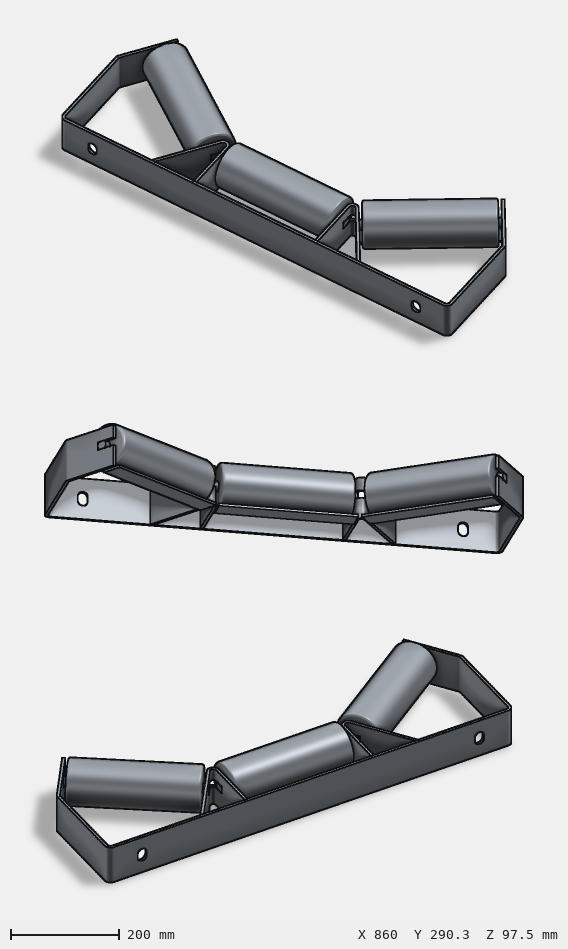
import cadquery as cq
import math

frame_length = 860.0
strip_height = 80.0
thickness = 6.0
bend_inner_radius = 6.0
frame_end_reach = 29.0

mount_slot_offset = 357.5
mount_slot_width = 19.0
mount_slot_height = 27.0

roller_diameter = 90.0
roller_length = 250.0
roller_edge_radius = 5.0
axle_diameter = 20.0
axle_flat_width = 15.0
axle_height = 47.5
half_gap = 131.0

slot_depth = thickness + 10.0
slot_open_length = 45.0

center_roller_y = 100.0
wing_angle = 35.0
wing_roller_x = 266.7
wing_roller_y = 183.23

plate_width = 39.0
plate_thickness = 5.0

strip_middle = half_gap + thickness / 2
cos_wing = math.cos(math.radians(wing_angle))
sin_wing = math.sin(math.radians(wing_angle))


def wing_point(along, across):
    """XY of a point given along and across the axis of the left wing roller."""
    x = -wing_roller_x + along * cos_wing + across * sin_wing
    y = wing_roller_y - along * sin_wing + across * cos_wing
    return x, y


def wing_point_at_x(along, x):
    """Point at the given x on the line square to the wing axis at this distance along it."""
    return wing_point(along, (x + wing_roller_x - along * cos_wing) / sin_wing)


def wing_point_at_y(along, y):
    """Point at the given y on the line square to the wing axis at this distance along it."""
    return wing_point(along, (y - wing_roller_y + along * sin_wing) / cos_wing)


def mirror_x(shape):
    return shape.mirror("YZ")


def to_center(shape):
    """Move a shape with its roller axis along X to the centre roller's place."""
    return shape.translate((0, center_roller_y, 0))


def to_left_wing(shape):
    """Turn and move a shape with its roller axis along X to the left wing roller's place."""
    turned = shape.rotate((0, 0, 0), (0, 0, 1), -wing_angle)
    return turned.translate((-wing_roller_x, wing_roller_y, 0))


def in_three_places(shape):
    """Copies of a shape at the left wing, the centre and the right wing."""
    left = to_left_wing(shape)
    return [left, to_center(shape), mirror_x(left)]


def bent_strip(points):
    """Strip standing on Z=0 that follows a centre line with rounded bends."""
    corners = [cq.Vector(x, y, 0) for x, y in points]
    path = cq.Wire.makePolygon(corners).fillet(bend_inner_radius + thickness / 2)
    start_plane = cq.Plane(
        origin=corners[0], xDir=cq.Vector(0, 0, 1), normal=corners[1] - corners[0]
    )
    return (
        cq.Workplane(start_plane)
        .center(strip_height / 2, 0)
        .rect(strip_height, thickness)
        .sweep(cq.Workplane(obj=path))
    )


def axle_slot():
    """Cutter for the support on the +X side: a slot from below the axle to the open end."""
    return (
        cq.Workplane("XY")
        .box(
            slot_depth,
            axle_diameter / 2 + slot_open_length,
            axle_flat_width,
            centered=(False, False, True),
        )
        .translate((half_gap, -axle_diameter / 2, axle_height))
    )


def make_frame():
    """Base strip with both ends bent up, then inward past the outer wing roller ends."""
    side_x = -(frame_length - thickness) / 2
    tip = wing_point(-strip_middle, frame_end_reach)
    shoulder = wing_point_at_x(-strip_middle, side_x)
    base_corner = (side_x, thickness / 2)
    left_half = [tip, shoulder, base_corner]
    right_half = [(-x, y) for x, y in reversed(left_half)]
    strip = bent_strip(left_half + right_half)

    mount_slots = (
        cq.Workplane("XZ")
        .pushPoints([(side * mount_slot_offset, strip_height / 2) for side in (-1, 1)])
        .slot2D(mount_slot_height, mount_slot_width, 90)
        .extrude(-thickness)
    )
    left_slot = to_left_wing(mirror_x(axle_slot()))
    return strip.cut(mount_slots).cut(left_slot).cut(mirror_x(left_slot))


def make_left_bracket():
    """V-shaped strip on the base that holds the left wing and centre rollers."""
    wing_foot = wing_point_at_y(strip_middle, 0)
    apex = wing_point_at_x(strip_middle, -strip_middle)
    upright_foot = (-strip_middle, 0)
    strip = bent_strip([wing_foot, apex, upright_foot])

    base_space = cq.Workplane("XY").box(
        frame_length, 2 * thickness, strip_height, centered=(True, True, False)
    )
    wing_slot = to_left_wing(axle_slot())
    center_slot = to_center(mirror_x(axle_slot()))
    return strip.cut(base_space).cut(wing_slot).cut(center_slot)


def make_roller():
    """Roller and its axle, with the axle ends flattened to fit the support slots."""
    drum = (
        cq.Workplane("YZ", origin=(-roller_length / 2, 0, 0))
        .circle(roller_diameter / 2)
        .extrude(roller_length)
        .edges()
        .fillet(roller_edge_radius)
    )
    axle_middle = cq.Workplane("YZ").circle(axle_diameter / 2).extrude(half_gap, both=True)
    flats = cq.Workplane("XY").box(
        2 * (half_gap + thickness), axle_diameter, axle_flat_width
    )
    axle_ends = (
        cq.Workplane("YZ")
        .circle(axle_diameter / 2)
        .extrude(half_gap + thickness, both=True)
        .intersect(flats)
    )
    return drum.union(axle_middle).union(axle_ends).translate((0, 0, axle_height))


def make_plate():
    """Flat plate just below the strips, reaching from under the roller axis to +Y."""
    return (
        cq.Workplane("XY", origin=(0, 0, -plate_thickness))
        .box(2 * half_gap, plate_width, plate_thickness, centered=(True, False, False))
    )


frame = make_frame()
left_bracket = make_left_bracket()
brackets = [left_bracket, mirror_x(left_bracket)]
rollers = in_three_places(make_roller())
plates = in_three_places(make_plate())

bodies = [frame, *brackets, *rollers, *plates]
result = cq.Compound.makeCompound([body.solids().val() for body in bodies])